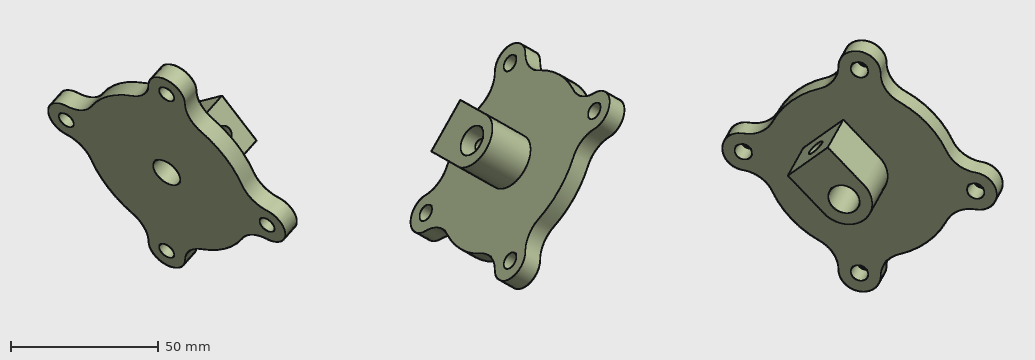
import cadquery as cq
import math

overall_width = 97.5
plate_thickness = 7.0
disc_radius = 34.0
lug_radius = 7.5
lug_hole_diameter = 6.1
lug_count = 4
lug_distance = overall_width / 2 - lug_radius

total_depth = 25.0
hub_radius = 10.0
hub_flat_distance = 18.1
hub_direction = 45.0
hub_height = total_depth - plate_thickness

bore_diameter = 11.1
set_screw_diameter = 6.2


def front_plane(distance=0):
    """Plane parallel to the plate, set back by a distance along +Y."""
    return cq.Workplane("XZ", origin=(0, distance, 0))


def polar(radius, angle):
    return radius * math.cos(angle), radius * math.sin(angle)


def rotated(point, angle):
    x, z = point
    return (
        x * math.cos(angle) - z * math.sin(angle),
        x * math.sin(angle) + z * math.cos(angle),
    )


def make_plate():
    blend_radius = (lug_radius**2 + lug_distance**2 - disc_radius**2) / (2 * (disc_radius - lug_radius))
    blend_center_z = lug_radius + blend_radius
    disc_angle = math.atan2(blend_center_z, lug_distance)
    blend_mid_angle = (disc_angle - math.pi / 2) / 2 - math.pi / 2
    blend_dx, blend_dz = polar(blend_radius, blend_mid_angle)

    lug_side = (lug_distance, lug_radius)
    blend_mid = (lug_distance + blend_dx, blend_center_z + blend_dz)
    disc_start = polar(disc_radius, disc_angle)
    disc_mid = polar(disc_radius, math.pi / lug_count)

    def mirrored(point):
        return point[0], -point[1]

    outline = front_plane().moveTo(*mirrored(lug_side))
    for index in range(lug_count):
        angle = index * 2 * math.pi / lug_count
        next_angle = angle + 2 * math.pi / lug_count
        arcs = [
            (rotated((overall_width / 2, 0), angle), rotated(lug_side, angle)),
            (rotated(blend_mid, angle), rotated(disc_start, angle)),
            (rotated(disc_mid, angle), rotated(mirrored(disc_start), next_angle)),
            (rotated(mirrored(blend_mid), next_angle), rotated(mirrored(lug_side), next_angle)),
        ]
        for middle, end in arcs:
            outline = outline.threePointArc(middle, end)
    return outline.close().extrude(-plate_thickness)


def make_hub():
    hub = (
        front_plane(plate_thickness)
        .moveTo(0, -hub_radius)
        .lineTo(hub_flat_distance, -hub_radius)
        .lineTo(hub_flat_distance, hub_radius)
        .lineTo(0, hub_radius)
        .threePointArc((-hub_radius, 0), (0, -hub_radius))
        .close()
        .extrude(-hub_height)
    )
    set_screw = (
        cq.Workplane("YZ", origin=(0, plate_thickness + hub_height / 2, 0))
        .circle(set_screw_diameter / 2)
        .extrude(hub_flat_distance)
    )
    return hub.cut(set_screw).rotate((0, 0, 0), (0, 1, 0), -hub_direction)


def make_holes():
    bore = front_plane().circle(bore_diameter / 2).extrude(-total_depth)
    lug_holes = (
        front_plane()
        .polarArray(lug_distance, 0, 360, lug_count)
        .circle(lug_hole_diameter / 2)
        .extrude(-plate_thickness)
    )
    return bore.union(lug_holes)


result = make_plate().union(make_hub()).cut(make_holes())